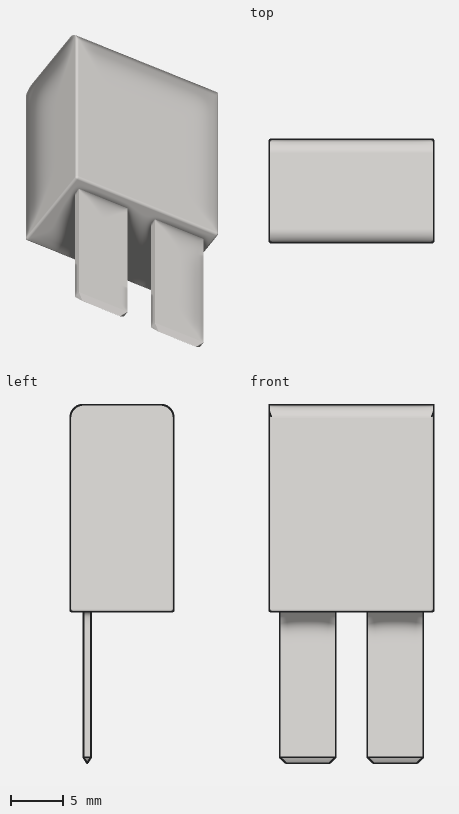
import cadquery as cq

total_height = 34.3

body_width = 15.75
body_depth = 9.9
body_height = 19.82
top_radius = 1.27
edge_radius = 0.25

blade_width = 5.4
blade_thickness = 0.75
blade_spacing = 8.35
blade_y = 3.33
tip_height = 0.6
tip_inset = 0.62
tip_edge_thickness = 0.007

body_bottom = total_height - body_height


def make_body():
    """Block with small rounds, its top trimmed by a profile with rounded shoulders."""
    block = (
        cq.Workplane("XY")
        .workplane(offset=body_bottom)
        .rect(body_width, body_depth)
        .extrude(body_height)
        .edges("|Z").fillet(edge_radius)
        .faces("<Z").edges().fillet(edge_radius)
    )
    shoulder_profile = (
        cq.Workplane("XY")
        .workplane(offset=body_bottom)
        .rect(body_width, body_depth)
        .extrude(body_height)
        .faces(">Z").edges("|X").fillet(top_radius)
    )
    return block.intersect(shoulder_profile)


def make_blade(x):
    """Flat blade with a tip that tapers in width and to a thin edge."""
    shank = (
        cq.Workplane("XY")
        .workplane(offset=tip_height)
        .center(x, blade_y)
        .rect(blade_width, blade_thickness)
        .extrude(body_bottom - tip_height)
    )
    tip = (
        cq.Workplane("XY")
        .center(x, blade_y)
        .rect(blade_width - 2 * tip_inset, tip_edge_thickness)
        .workplane(offset=tip_height)
        .rect(blade_width, blade_thickness)
        .loft(ruled=True)
    )
    return shank.union(tip)


result = make_body()
for side in (-1, 1):
    result = result.union(make_blade(side * blade_spacing / 2))